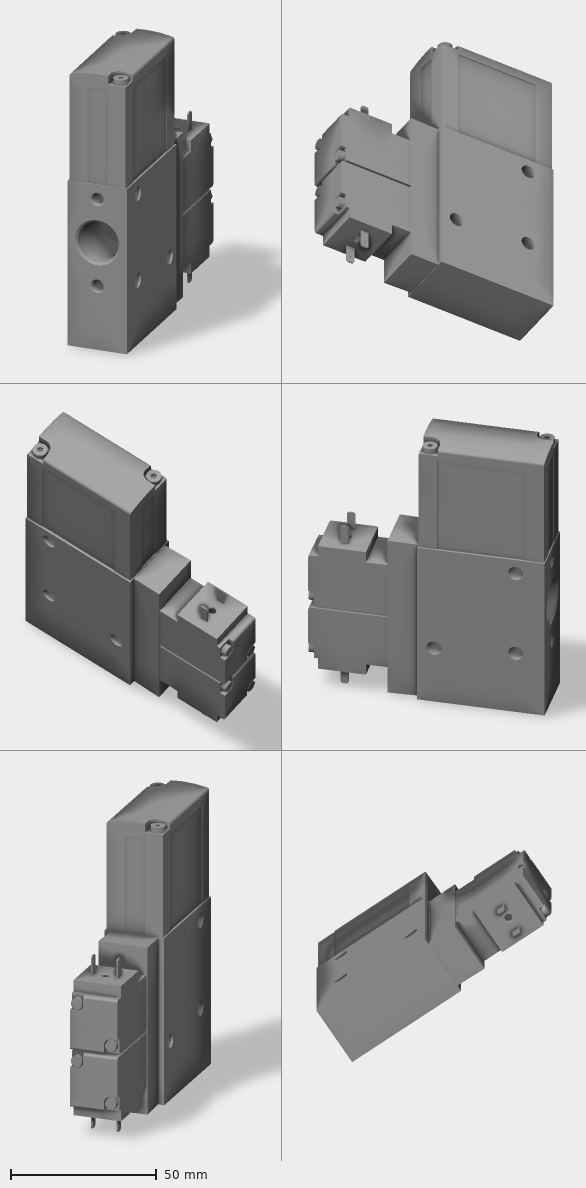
import cadquery as cq
import math

TOTAL_HEIGHT = 102.8
TOTAL_LENGTH = 84.1

BODY_WIDTH = 22.0
BODY_LENGTH = 45.0
BODY_HEIGHT = 61.0
BODY_BOTTOM = 1.0
BODY_TOP = BODY_BOTTOM + BODY_HEIGHT
MID_Z = BODY_BOTTOM + BODY_HEIGHT / 2

PORT_DIAMETER = 14.9
PORT_DEPTH = 20.6
PORT_CHAMFER = 0.8
PORT_Z = 40.6
SCREW_HOLE_DIAMETER = 4.1
SCREW_HOLE_CHAMFER = 0.4
SCREW_HOLE_SPACING = 32.1
MOUNT_HOLE_DIAMETER = 5.2
FRONT_MOUNT_Y = 10.2
REAR_MOUNT_Y = 39.1
REAR_MOUNT_Z = 22.5

CAP_WIDTH = 20.8
CAP_INSET = 0.3
CAP_LENGTH = 44.3
CAP_MID_Y = CAP_INSET + CAP_LENGTH / 2
CAP_CROWN_RISE = 1.2
CAP_EDGE_RADIUS = 1.0
PANEL_RECESS = 0.3
PANEL_TOP = 97.5
SIDE_PANEL_LENGTH = 31.3
END_PANEL_WIDTH = 7.6

CAP_SCREW_X = 7.3
CAP_SCREW_OFFSET_Y = 18.9
CAP_HEAD_DIAMETER = 5.2
CAP_HEAD_HEIGHT = 2.1
CAP_POCKET_RADIUS = 3.5
CAP_POCKET_FLOOR = 99.4
SOCKET_CORE_DIAMETER = 1.6
SOCKET_LOBES = 6
SOCKET_LOBE_DIAMETER = 0.6
SOCKET_LOBE_OFFSET = 0.8
SOCKET_DEPTH = 1.0

PLATE_LENGTH = 11.0
PLATE_WIDTH = 18.0
PLATE_HEIGHT = BODY_HEIGHT
PLATE_DRAFT_ANGLE = 1.0

COIL_WIDTH = 17.5
COIL_HEIGHT = 20.0
COIL_GAP = 0.9
COIL_EDGE_RADIUS = 0.9
COIL_START_Y = BODY_LENGTH + PLATE_LENGTH
COIL_BOTTOM = MID_Z + COIL_GAP / 2
COIL_TOP = COIL_BOTTOM + COIL_HEIGHT
SOCKET_BLOCK_LENGTH = 17.0
SOCKET_BLOCK_HEIGHT = 4.1
SOCKET_BLOCK_TOP = COIL_TOP + SOCKET_BLOCK_HEIGHT
CONTACT_Y = 72.2
COIL_HOLE_DIAMETER = 2.5
COIL_HOLE_CHAMFER = 0.3
COIL_HOLE_DEPTH = 3.1

PIN_TIP = 2 * MID_Z
PIN_WIDTH = 3.0
PIN_THICKNESS = 0.5
PIN_SPACING = 9.5
PIN_CHAMFER = 0.6
PIN_HOLE_DIAMETER = 0.5
PIN_HOLE_FROM_TIP = 2.2

COIL_NOTCH_RADIUS = 2.5
COIL_NOTCH_DEPTH = 2.1
COIL_HEAD_DIAMETER = 4.1
COIL_HEAD_INSET_X = 2.5
COIL_HEAD_INSET_Z = 3.1


def block(x_size, y_start, y_end, z_start, z_end, x_mid=0.0):
    """Box centred on x_mid and given by its Y and Z limits."""
    return (
        cq.Workplane("XY")
        .box(x_size, y_end - y_start, z_end - z_start, centered=(True, False, False))
        .translate((x_mid, y_start, z_start))
    )


def y_cylinder(diameter, x, z, y_start, y_end):
    """Cylinder along Y between two Y positions."""
    axis_plane = cq.Workplane("XZ", origin=(x, y_start, z))
    return axis_plane.circle(diameter / 2).extrude(y_start - y_end)


def x_cylinder(diameter, y, z, length, x_mid=0.0):
    """Cylinder along X centred on x_mid."""
    axis_plane = cq.Workplane("YZ", origin=(x_mid, y, z))
    return axis_plane.circle(diameter / 2).extrude(length / 2, both=True)


def z_cylinder(diameter, x, y, z_start, z_end):
    """Cylinder along Z between two Z positions."""
    axis_plane = cq.Workplane("XY", origin=(x, y, z_start))
    return axis_plane.circle(diameter / 2).extrude(z_end - z_start)


def chamfered_hole(mouth_plane, diameter, chamfer, depth):
    """Blind hole below a workplane that faces outwards, with a chamfered mouth."""
    bore = mouth_plane.circle(diameter / 2).extrude(-depth)
    mouth = (
        mouth_plane.circle(diameter / 2 + chamfer).workplane(offset=-chamfer).circle(diameter / 2).loft()
    )
    return bore.union(mouth)


def front_hole(diameter, chamfer, z, depth):
    """Chamfered hole going in from the port face."""
    return chamfered_hole(cq.Workplane("XZ", origin=(0, 0, z)), diameter, chamfer, depth)


def make_body():
    body = block(BODY_WIDTH, 0, BODY_LENGTH, BODY_BOTTOM, BODY_TOP)
    body = body.cut(front_hole(PORT_DIAMETER, PORT_CHAMFER, PORT_Z, PORT_DEPTH))
    for side in (-1, 1):
        z = PORT_Z + side * SCREW_HOLE_SPACING / 2
        body = body.cut(front_hole(SCREW_HOLE_DIAMETER, SCREW_HOLE_CHAMFER, z, FRONT_MOUNT_Y))
        body = body.cut(x_cylinder(MOUNT_HOLE_DIAMETER, FRONT_MOUNT_Y, z, BODY_WIDTH))
    return body.cut(x_cylinder(MOUNT_HOLE_DIAMETER, REAR_MOUNT_Y, REAR_MOUNT_Z, BODY_WIDTH))


def make_cap_shell():
    """Crowned block with shallow panels on its four sides."""
    half_width = CAP_WIDTH / 2
    shoulder = TOTAL_HEIGHT - CAP_CROWN_RISE
    shell = (
        cq.Workplane("XZ", origin=(0, CAP_INSET, 0))
        .moveTo(-half_width, BODY_TOP)
        .lineTo(-half_width, shoulder)
        .threePointArc((0, TOTAL_HEIGHT), (half_width, shoulder))
        .lineTo(half_width, BODY_TOP)
        .close()
        .extrude(-CAP_LENGTH)
    )
    top_edges = cq.selectors.BoxSelector(
        (-BODY_WIDTH, 0, shoulder - CAP_EDGE_RADIUS), (BODY_WIDTH, BODY_LENGTH, shoulder + CAP_EDGE_RADIUS)
    )
    shell = shell.edges("|Y").edges(top_edges).fillet(CAP_EDGE_RADIUS)

    side_start = CAP_MID_Y - SIDE_PANEL_LENGTH / 2
    side_end = CAP_MID_Y + SIDE_PANEL_LENGTH / 2
    for side in (-1, 1):
        x_wall = side * half_width
        y_wall = CAP_MID_Y + side * CAP_LENGTH / 2
        shell = shell.cut(block(2 * PANEL_RECESS, side_start, side_end, BODY_TOP, PANEL_TOP, x_wall))
        shell = shell.cut(
            block(END_PANEL_WIDTH, y_wall - PANEL_RECESS, y_wall + PANEL_RECESS, BODY_TOP, PANEL_TOP)
        )
    return shell


def make_cap_screw(x, y):
    """Pan head with a six-lobed socket."""
    head_top = CAP_POCKET_FLOOR + CAP_HEAD_HEIGHT
    socket_floor = head_top - SOCKET_DEPTH
    head = z_cylinder(CAP_HEAD_DIAMETER, x, y, CAP_POCKET_FLOOR, head_top)
    head = head.cut(z_cylinder(SOCKET_CORE_DIAMETER, x, y, socket_floor, head_top))
    for lobe in range(SOCKET_LOBES):
        angle = math.pi / 2 + lobe * 2 * math.pi / SOCKET_LOBES
        lobe_x = x + SOCKET_LOBE_OFFSET * math.cos(angle)
        lobe_y = y + SOCKET_LOBE_OFFSET * math.sin(angle)
        head = head.cut(z_cylinder(SOCKET_LOBE_DIAMETER, lobe_x, lobe_y, socket_floor, head_top))
    return head


def make_cap():
    cap = make_cap_shell()
    for side in (-1, 1):
        x = side * CAP_SCREW_X
        y = CAP_MID_Y - side * CAP_SCREW_OFFSET_Y
        reach = 2 * CAP_POCKET_RADIUS
        pocket = (
            cq.Workplane("XY", origin=(x, y, CAP_POCKET_FLOOR))
            .moveTo(-side * CAP_POCKET_RADIUS, -side * reach)
            .lineTo(-side * CAP_POCKET_RADIUS, 0)
            .radiusArc((0, side * CAP_POCKET_RADIUS), CAP_POCKET_RADIUS)
            .lineTo(side * reach, side * CAP_POCKET_RADIUS)
            .lineTo(side * reach, -side * reach)
            .close()
            .extrude(TOTAL_HEIGHT - CAP_POCKET_FLOOR)
        )
        cap = cap.cut(pocket).union(make_cap_screw(x, y))
    return cap


def make_plate():
    return (
        cq.Workplane("XZ", origin=(0, COIL_START_Y, MID_Z))
        .rect(PLATE_WIDTH, PLATE_HEIGHT)
        .extrude(PLATE_LENGTH, taper=PLATE_DRAFT_ANGLE)
    )


def make_pin(x):
    z_hole = PIN_TIP - PIN_HOLE_FROM_TIP
    half_width = PIN_WIDTH / 2
    pin = block(PIN_THICKNESS, CONTACT_Y - half_width, CONTACT_Y + half_width, COIL_TOP, PIN_TIP, x)
    pin = pin.faces(">Z").edges("|X").chamfer(PIN_CHAMFER)
    return pin.cut(x_cylinder(PIN_HOLE_DIAMETER, CONTACT_Y, z_hole, PIN_THICKNESS, x))


def make_coil():
    """Upper coil with its contact block, pins and two corner screws."""
    coil = block(COIL_WIDTH, COIL_START_Y, TOTAL_LENGTH, COIL_BOTTOM, COIL_TOP)
    coil = coil.faces(">Y").edges("|X").fillet(COIL_EDGE_RADIUS)

    block_start = CONTACT_Y - SOCKET_BLOCK_LENGTH / 2
    block_end = CONTACT_Y + SOCKET_BLOCK_LENGTH / 2
    coil = coil.union(block(COIL_WIDTH, block_start, block_end, COIL_BOTTOM, SOCKET_BLOCK_TOP))
    hole_mouth = cq.Workplane("XY", origin=(0, CONTACT_Y, SOCKET_BLOCK_TOP))
    coil = coil.cut(chamfered_hole(hole_mouth, COIL_HOLE_DIAMETER, COIL_HOLE_CHAMFER, COIL_HOLE_DEPTH))

    for side in (-1, 1):
        coil = coil.union(make_pin(side * PIN_SPACING / 2))

        x = side * (COIL_WIDTH / 2 - COIL_HEAD_INSET_X)
        z = COIL_BOTTOM + COIL_HEIGHT / 2 + side * (COIL_HEIGHT / 2 - COIL_HEAD_INSET_Z)
        floor_y = TOTAL_LENGTH - COIL_NOTCH_DEPTH
        reach = 2 * COIL_NOTCH_RADIUS
        notch = (
            cq.Workplane("XZ", origin=(x, floor_y, z))
            .moveTo(-side * COIL_NOTCH_RADIUS, side * reach)
            .lineTo(-side * COIL_NOTCH_RADIUS, 0)
            .radiusArc((0, -side * COIL_NOTCH_RADIUS), -COIL_NOTCH_RADIUS)
            .lineTo(side * reach, -side * COIL_NOTCH_RADIUS)
            .lineTo(side * reach, side * reach)
            .close()
            .extrude(-COIL_NOTCH_DEPTH)
        )
        coil = coil.cut(notch).union(y_cylinder(COIL_HEAD_DIAMETER, x, z, floor_y, TOTAL_LENGTH))
    return coil


upper_coil = make_coil()
lower_coil = upper_coil.rotate((0, 0, MID_Z), (0, 1, MID_Z), 180)

result = make_body().union(make_cap()).union(make_plate()).union(upper_coil).union(lower_coil)